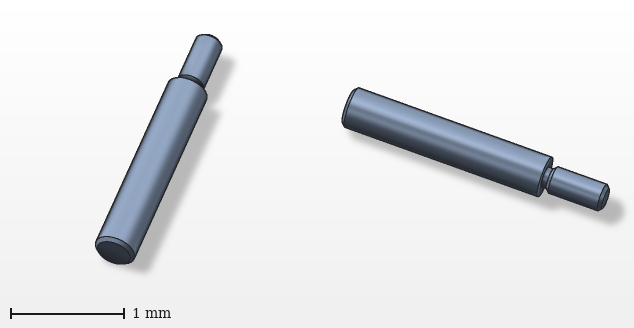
import cadquery as cq

total_length = 2.44
body_length = 1.865
body_radius = 0.185
body_chamfer = 0.032

tip_radius = 0.125
tip_chamfer = 0.032
neck_radius = 0.093
neck_length = 0.05
neck_taper_length = tip_radius - neck_radius

tip_start = body_length + neck_length + neck_taper_length

half_profile = [
    (0, 0),
    (body_radius - body_chamfer, 0),
    (body_radius, body_chamfer),
    (body_radius, body_length),
    (neck_radius, body_length),
    (neck_radius, body_length + neck_length),
    (tip_radius, tip_start),
    (tip_radius, total_length - tip_chamfer),
    (tip_radius - tip_chamfer, total_length),
    (0, total_length),
]

result = cq.Workplane("XY").polyline(half_profile).close().revolve(360, (0, 0, 0), (0, 1, 0))